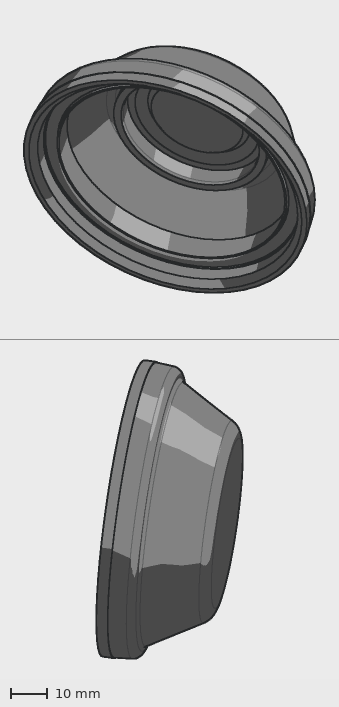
import cadquery as cq
import math


rim_radius = 41.0
height = 28.7

rim_band_width = 3.2
skirt_start_radius = 40.8
skirt_end_radius = 40.4
skirt_end_y = 8.2
shoulder_radius = 38.0
shoulder_y = 10.4
cone_start_radius = 36.6
cone_start_y = 11.3
cone_half_angle = math.radians(30)
back_round_radius = 5.25

mouth_radius = 39.5
mouth_chamfer_radius = 37.6
mouth_chamfer_y = 2.0
lip_radius = 37.0
lip_y = 5.3
groove_outer_radius = 37.15
groove_inner_radius = 33.2
groove_floor_y = 8.2
land_y = 5.5

bore_radius = 32.7
bore_end_y = 12.3
floor_y = 25.75
cavity_round_radius = 2.5

socket_outer_radius = 22.1
socket_front_y = 20.75
socket_mouth_radius = 20.0
socket_throat_radius = 19.8
socket_throat_y = 21.8
socket_base_radius = 20.1
ledge_y = 26.5
recess_mouth_radius = 17.95
recess_floor_radius = 14.85
recess_floor_y = 28.2

seal_center_radius = 35.3
seal_section_radius = 1.6

disc_face_radius = 13.3


def revolve_about_y(profile):
    return profile.close().revolve(360, (0, 0, 0), (0, 1, 0))


def cone_radius(start_radius, start_y, y):
    """Radius at y of a wall that narrows at the cone half angle."""
    return start_radius - (y - start_y) * math.tan(cone_half_angle)


def corner_round(start_radius, start_y, end_y, round_radius):
    """Start, middle and end of the arc from the narrowing wall to the plane y = end_y."""
    tangent_y = end_y - round_radius * (1 - math.sin(cone_half_angle))
    tangent_radius = cone_radius(start_radius, start_y, tangent_y)
    center_radius = tangent_radius - round_radius * math.cos(cone_half_angle)
    center_y = end_y - round_radius
    middle_angle = (cone_half_angle + math.pi / 2) / 2
    middle = (
        center_radius + round_radius * math.cos(middle_angle),
        center_y + round_radius * math.sin(middle_angle),
    )
    return (tangent_radius, tangent_y), middle, (center_radius, end_y)


def make_outer_body():
    round_start, round_middle, round_end = corner_round(
        cone_start_radius, cone_start_y, height, back_round_radius
    )
    profile = (
        cq.Workplane("XY")
        .lineTo(rim_radius, 0)
        .lineTo(rim_radius, rim_band_width)
        .lineTo(skirt_start_radius, rim_band_width)
        .lineTo(skirt_end_radius, skirt_end_y)
        .tangentArcPoint((shoulder_radius, shoulder_y), relative=False)
        .tangentArcPoint((cone_start_radius, cone_start_y), relative=False)
        .lineTo(*round_start)
        .threePointArc(round_middle, round_end)
        .lineTo(0, height)
    )
    return revolve_about_y(profile)


def make_cavity():
    """Mouth, seal groove, conical cavity, socket and centre recess as one cutter."""
    round_start, round_middle, round_end = corner_round(
        bore_radius, bore_end_y, floor_y, cavity_round_radius
    )
    profile = (
        cq.Workplane("XY")
        .lineTo(mouth_radius, 0)
        .lineTo(mouth_chamfer_radius, mouth_chamfer_y)
        .lineTo(lip_radius, lip_y)
        .lineTo(groove_outer_radius, lip_y)
        .lineTo(groove_outer_radius, groove_floor_y)
        .lineTo(groove_inner_radius, groove_floor_y)
        .lineTo(groove_inner_radius, land_y)
        .lineTo(bore_radius, land_y)
        .lineTo(bore_radius, bore_end_y)
        .lineTo(*round_start)
        .threePointArc(round_middle, round_end)
        .lineTo(socket_outer_radius, floor_y)
        .lineTo(socket_outer_radius, socket_front_y)
        .lineTo(socket_mouth_radius, socket_front_y)
        .lineTo(socket_throat_radius, socket_throat_y)
        .lineTo(socket_base_radius, ledge_y)
        .lineTo(recess_mouth_radius, ledge_y)
        .lineTo(recess_floor_radius, recess_floor_y)
        .lineTo(0, recess_floor_y)
    )
    return revolve_about_y(profile)


def make_housing():
    return make_outer_body().cut(make_cavity()).solids()


def make_seal_ring():
    """O-ring resting on the floor of the seal groove."""
    seal_center_y = groove_floor_y - seal_section_radius
    section = cq.Workplane("XY").center(seal_center_radius, seal_center_y).circle(seal_section_radius)
    return section.revolve(360, (-seal_center_radius, 0, 0), (-seal_center_radius, 1, 0))


def make_centre_disc():
    """Bevelled disc whose wide side fills the recess floor."""
    profile = (
        cq.Workplane("XY")
        .moveTo(0, ledge_y)
        .lineTo(disc_face_radius, ledge_y)
        .lineTo(recess_floor_radius, recess_floor_y)
        .lineTo(0, recess_floor_y)
    )
    return revolve_about_y(profile)


housing = make_housing()
seal_ring = make_seal_ring()
centre_disc = make_centre_disc()

result = cq.Compound.makeCompound([housing.val(), seal_ring.val(), centre_disc.val()])